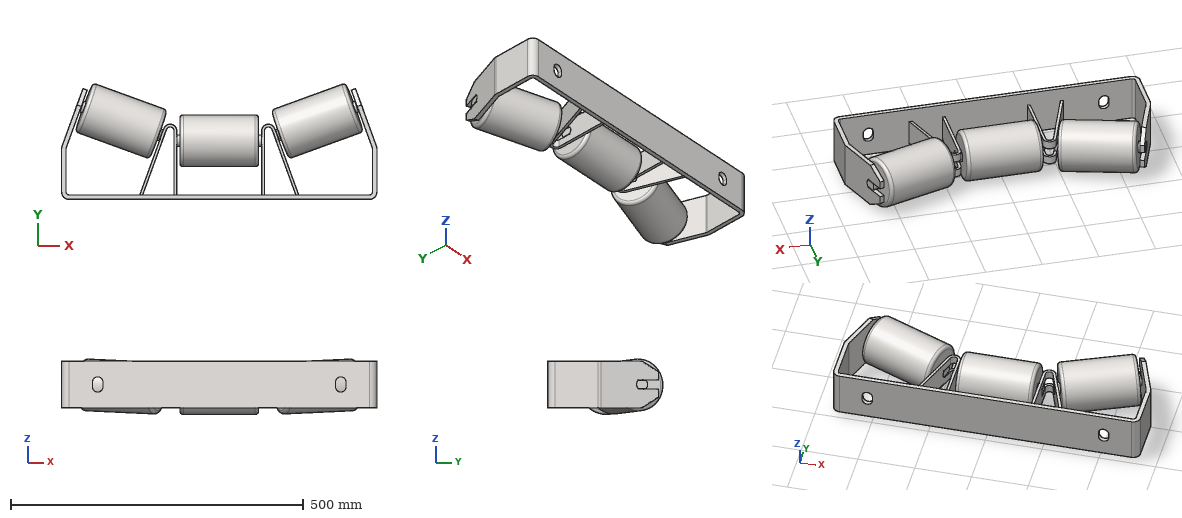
import cadquery as cq
import math


ROLLER_DIAMETER = 89.0
ROLLER_LENGTH = 135.0
ROLLER_EDGE_RADIUS = 6.0
SPINDLE_DIAMETER = 20.0
SPINDLE_FLATS = 14.0
SUPPORT_SPACING = 145.0

TROUGH_ANGLE = 20.0
DROP_ANGLE = 2.5

STRAP_LENGTH = 540.0
STRAP_WIDTH = 80.0
STRAP_THICKNESS = 8.0
STRAP_BEND_RADIUS = 13.0
END_BEND_Y = 89.0
END_LENGTH = 107.5
END_CHAMFER_LENGTH = 30.0
END_CHAMFER_WIDTH = 18.0
SIDE_AXIS_ALONG_END = 77.65

MOUNT_HOLE_X = 208.0
MOUNT_HOLE_WIDTH = 18.0
MOUNT_HOLE_HEIGHT = 26.0

BRACKET_THICKNESS = 5.0
BRACKET_WIDTH = 45.0
BRACKET_BEND_RADIUS = 11.5
BRACKET_BEND_Y = 117.5

CENTRE_AXIS_Y = 100.5
CENTRE_AXIS_Z = 33.0
END_SLOT_Z = STRAP_WIDTH / 2
SLOT_WIDTH = 16.0
SLOT_END_CLEARANCE = 0.25
SHOULDER_GAP = 0.5

LEFT = -1
RIGHT = 1

SIN_TROUGH = math.sin(math.radians(TROUGH_ANGLE))
COS_TROUGH = math.cos(math.radians(TROUGH_ANGLE))
TAN_TROUGH = SIN_TROUGH / COS_TROUGH
LEFT_END_UP = (SIN_TROUGH, COS_TROUGH)
LEFT_INWARD = (COS_TROUGH, -SIN_TROUGH)


def moved(point, *steps):
    """Move an XY point by (distance, direction) steps."""
    x, y = point
    for distance, direction in steps:
        x += distance * direction[0]
        y += distance * direction[1]
    return (x, y)


LEFT_BEND = (-STRAP_LENGTH / 2, END_BEND_Y)
SIDE_CENTRE = moved(
    LEFT_BEND,
    (SIDE_AXIS_ALONG_END, LEFT_END_UP),
    (STRAP_THICKNESS + SUPPORT_SPACING / 2, LEFT_INWARD),
)
SIDE_CENTRE_Z = (CENTRE_AXIS_Z + END_SLOT_Z) / 2


def on_side(left_shape, side):
    """The left-hand shape itself for side -1, its mirror image for side +1."""
    return left_shape if side < 0 else left_shape.mirror("YZ")


def bar_along_x(diameter, start, end):
    return cq.Workplane("YZ").workplane(offset=start).circle(diameter / 2).extrude(end - start)


def flatted_bar(diameter, width, start, end):
    """Round bar along X with flats facing +Z and -Z, `width` apart."""
    bar = bar_along_x(diameter, start, end)
    between_flats = cq.Workplane("XY").box(STRAP_LENGTH, STRAP_LENGTH, width)
    return bar.intersect(between_flats)


def make_roller(left_reach, right_reach, shoulder_gap):
    """Roller along X about the origin; the reaches run from each support face to the spindle tip."""
    support = SUPPORT_SPACING / 2
    shoulder = support - shoulder_gap
    shell = bar_along_x(ROLLER_DIAMETER, -ROLLER_LENGTH / 2, ROLLER_LENGTH / 2)
    shell = shell.edges("%CIRCLE").fillet(ROLLER_EDGE_RADIUS)
    shaft = bar_along_x(SPINDLE_DIAMETER, -shoulder, shoulder)
    ends = flatted_bar(SPINDLE_DIAMETER, SPINDLE_FLATS, -support - left_reach, support + right_reach)
    return shell.union(shaft).union(ends)


def make_side_roller(side):
    """Leans with its raised end of the strap, and drops in Z towards the bracket."""
    roller = make_roller(STRAP_THICKNESS, BRACKET_THICKNESS, SHOULDER_GAP)
    roller = roller.rotate((0, 0, 0), (0, 1, 0), DROP_ANGLE)
    roller = roller.rotate((0, 0, 0), (0, 0, 1), -TROUGH_ANGLE)
    return on_side(roller.translate((*SIDE_CENTRE, SIDE_CENTRE_Z)), side)


def open_slot(axis_point, z, tilt, depth):
    """Cutter for a slot that is closed below the spindle axis and runs on past the plate's top.

    It starts at axis_point on the face beside the roller and goes `depth` into the plate.
    """
    closed_end = flatted_bar(SPINDLE_DIAMETER + 2 * SLOT_END_CLEARANCE, SLOT_WIDTH, -depth, 0)
    run_size = (depth, SUPPORT_SPACING, SLOT_WIDTH)
    run = cq.Workplane("XY").box(*run_size, centered=(False, False, True)).translate((-depth, 0, 0))
    slot = closed_end.union(run)
    return slot.rotate((0, 0, 0), (0, 0, 1), tilt).translate((*axis_point, z))


def make_strap():
    tip = moved(LEFT_BEND, (END_LENGTH, LEFT_END_UP))
    inner_tip = moved(tip, (STRAP_THICKNESS, LEFT_INWARD))
    inner_x = LEFT_BEND[0] + STRAP_THICKNESS
    inner_bend = (inner_x, END_BEND_Y - STRAP_THICKNESS * math.tan(math.radians(TROUGH_ANGLE / 2)))
    outline = [
        (0, 0),
        (LEFT_BEND[0], 0),
        LEFT_BEND,
        tip,
        inner_tip,
        inner_bend,
        (inner_x, STRAP_THICKNESS),
        (0, STRAP_THICKNESS),
    ]
    half = cq.Workplane("XY").polyline(outline).close().extrude(STRAP_WIDTH)
    for corner in ((LEFT_BEND[0], 0), LEFT_BEND):
        half = half.edges(cq.NearestToPointSelector((*corner, STRAP_WIDTH / 2))).fillet(STRAP_BEND_RADIUS)
    for corner in ((inner_x, STRAP_THICKNESS), inner_bend):
        half = half.edges(cq.NearestToPointSelector((*corner, STRAP_WIDTH / 2))).fillet(
            STRAP_BEND_RADIUS - STRAP_THICKNESS
        )
    for z, side in ((0, 1), (STRAP_WIDTH, -1)):
        corner = (
            cq.Workplane("YZ")
            .moveTo(0, z)
            .lineTo(-END_CHAMFER_LENGTH, z)
            .lineTo(0, z + side * END_CHAMFER_WIDTH)
            .close()
            .extrude(STRAP_THICKNESS)
        )
        half = half.cut(corner.rotate((0, 0, 0), (0, 0, 1), -TROUGH_ANGLE).translate((*tip, 0)))
    axis_point = moved(
        LEFT_BEND, (SIDE_AXIS_ALONG_END, LEFT_END_UP), (STRAP_THICKNESS, LEFT_INWARD)
    )
    half = half.cut(
        open_slot(axis_point, END_SLOT_Z, -TROUGH_ANGLE, STRAP_THICKNESS)
    )
    hole = (
        cq.Workplane("XZ")
        .center(-MOUNT_HOLE_X, STRAP_WIDTH / 2)
        .slot2D(MOUNT_HOLE_HEIGHT, MOUNT_HOLE_WIDTH, 90)
        .extrude(-STRAP_THICKNESS)
    )
    half = half.cut(hole)
    return half.union(on_side(half, RIGHT))


def make_bracket(side):
    face_x = -SUPPORT_SPACING / 2
    bend_centre = (face_x - BRACKET_BEND_RADIUS, BRACKET_BEND_Y)
    middle_of_bend = math.radians((180 - TROUGH_ANGLE) / 2)
    crown = (math.cos(middle_of_bend), math.sin(middle_of_bend))
    outward = (-COS_TROUGH, SIN_TROUGH)

    def foot(point):
        """Where the leaning leg's line through the point meets the strap."""
        return (point[0] - (point[1] - STRAP_THICKNESS) * TAN_TROUGH, STRAP_THICKNESS)

    inner_radius = BRACKET_BEND_RADIUS - BRACKET_THICKNESS
    outer_tangent = moved(bend_centre, (BRACKET_BEND_RADIUS, outward))
    inner_tangent = moved(bend_centre, (inner_radius, outward))
    bracket = (
        cq.Workplane("XY")
        .workplane(offset=CENTRE_AXIS_Z - BRACKET_WIDTH / 2)
        .moveTo(face_x, STRAP_THICKNESS)
        .lineTo(face_x, BRACKET_BEND_Y)
        .threePointArc(moved(bend_centre, (BRACKET_BEND_RADIUS, crown)), outer_tangent)
        .lineTo(*foot(outer_tangent))
        .lineTo(*foot(inner_tangent))
        .lineTo(*inner_tangent)
        .threePointArc(
            moved(bend_centre, (inner_radius, crown)), (face_x - BRACKET_THICKNESS, BRACKET_BEND_Y)
        )
        .lineTo(face_x - BRACKET_THICKNESS, STRAP_THICKNESS)
        .close()
        .extrude(BRACKET_WIDTH)
    )
    upright_slot = open_slot((face_x, CENTRE_AXIS_Y), CENTRE_AXIS_Z, 0, BRACKET_BEND_RADIUS)
    leaning_point = moved(SIDE_CENTRE, (SUPPORT_SPACING / 2 + BRACKET_BEND_RADIUS, LEFT_INWARD))
    leaning_slot = open_slot(leaning_point, CENTRE_AXIS_Z, -TROUGH_ANGLE, BRACKET_BEND_RADIUS)
    return on_side(bracket.cut(upright_slot).cut(leaning_slot), side)


side_rollers = [make_side_roller(side) for side in (LEFT, RIGHT)]

centre_roller = make_roller(BRACKET_THICKNESS, BRACKET_THICKNESS, 0)
centre_roller = centre_roller.translate((0, CENTRE_AXIS_Y, CENTRE_AXIS_Z))
frame = make_strap()
for side in (LEFT, RIGHT):
    frame = frame.union(make_bracket(side))
frame = frame.union(centre_roller)

result = cq.Compound.makeCompound([frame.val(), *[roller.val() for roller in side_rollers]])